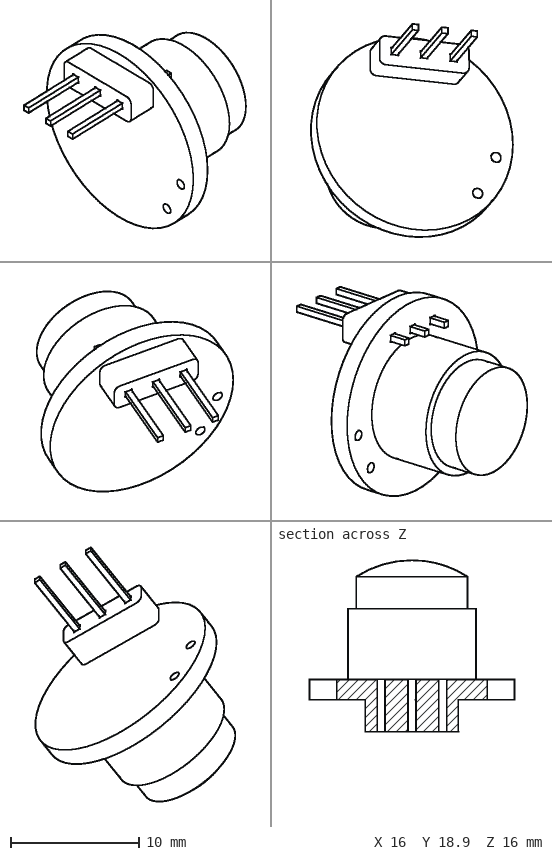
import cadquery as cq
import math


board_diameter = 16.0
board_thickness = 1.6

can_diameter = 10.0
can_height = 5.5
lens_diameter = 8.7
lens_rim_height = 2.5
dome_radius = 8.0

header_width = 7.3
header_height = 2.4
header_depth = 2.5
header_corner_radius = 0.5
header_z = 5.7

pin_count = 3
pin_pitch = 2.4
pin_size = 0.5
pin_clearance = 0.05
pin_front_length = 5.5
pin_back_length = 1.4

board_hole_diameter = 0.8
board_hole_centres = [(6.62, -1.22), (5.12, -4.39)]

can_end_y = board_thickness + can_height
lens_rim_y = can_end_y + lens_rim_height
lens_radius = lens_diameter / 2
dome_centre_y = lens_rim_y - math.sqrt(dome_radius**2 - lens_radius**2)
dome_top_y = dome_centre_y + dome_radius
dome_mid_angle = math.asin(lens_radius / dome_radius) / 2
dome_mid_point = (
    dome_radius * math.sin(dome_mid_angle),
    dome_centre_y + dome_radius * math.cos(dome_mid_angle),
)
pin_hole_size = pin_size + 2 * pin_clearance
pin_start_y = -header_depth - pin_front_length
pin_end_y = board_thickness + pin_back_length
pin_x_positions = [(i - (pin_count - 1) / 2) * pin_pitch for i in range(pin_count)]


def plane_at(y):
    """Workplane across the Y axis at y, whose extrusions run toward +Y; local y is -Z."""
    return cq.Workplane(cq.Plane(origin=(0, y, 0), xDir=(1, 0, 0), normal=(0, 1, 0)))


def square_bar(x, size, start_y, end_y):
    """Square bar along Y on the pin row."""
    return plane_at(start_y).center(x, -header_z).rect(size, size).extrude(end_y - start_y)


def make_turned_body():
    """Board, can and domed lens as one half profile turned about the Y axis."""
    return (
        cq.Workplane("XY")
        .moveTo(0, 0)
        .lineTo(board_diameter / 2, 0)
        .lineTo(board_diameter / 2, board_thickness)
        .lineTo(can_diameter / 2, board_thickness)
        .lineTo(can_diameter / 2, can_end_y)
        .lineTo(lens_radius, can_end_y)
        .lineTo(lens_radius, lens_rim_y)
        .threePointArc(dome_mid_point, (0, dome_top_y))
        .close()
        .revolve(360, (0, 0, 0), (0, 1, 0))
    )


def make_header_block():
    """Rounded block standing on the header side of the board."""
    return (
        plane_at(-header_depth)
        .center(0, -header_z)
        .rect(header_width, header_height)
        .extrude(header_depth)
        .edges("|Y")
        .fillet(header_corner_radius)
    )


def make_board_holes():
    """Cutters for the small round holes through the board."""
    return (
        plane_at(0)
        .pushPoints([(x, -z) for x, z in board_hole_centres])
        .circle(board_hole_diameter / 2)
        .extrude(board_thickness)
    )


def make_module():
    """Board, can, lens and header in one piece, with all holes cut."""
    module = make_turned_body().union(make_header_block()).cut(make_board_holes())
    for x in pin_x_positions:
        module = module.cut(square_bar(x, pin_hole_size, -header_depth, board_thickness))
    return module


def make_pin(x):
    """Square pin through the header and board, clear of the hole walls."""
    return square_bar(x, pin_size, pin_start_y, pin_end_y)


module = make_module()
pins = [make_pin(x) for x in pin_x_positions]

result = cq.Compound.makeCompound([module.val(), *[pin.val() for pin in pins]])